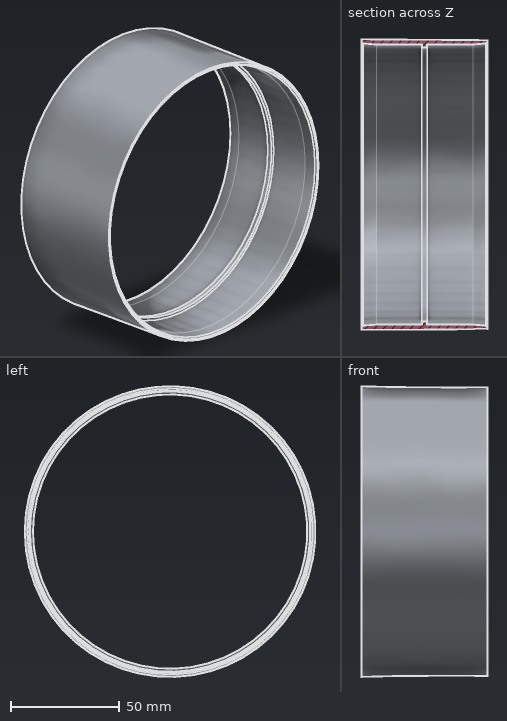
import cadquery as cq

length = 58.5
outer_radius_large = 67.33
outer_radius_small = 66.92
socket_radius = 64.8
lead_in_depth = 7.0
lead_in_radius = 65.3
chamfer_size = 0.8
stop_radius = 63.4
stop_width = 2.5

mouth_radius = lead_in_radius + chamfer_size
stop_start = (length - stop_width) / 2
stop_end = stop_start + stop_width


def wall_section():
    """Section of the wall above the axis, with points as (X, radius)."""
    return (
        cq.Workplane("XY")
        .moveTo(0, outer_radius_large)
        .lineTo(length, outer_radius_small)
        .lineTo(length, mouth_radius)
        .lineTo(length - chamfer_size, lead_in_radius)
        .lineTo(length - lead_in_depth, socket_radius)
        .lineTo(stop_end, socket_radius)
        .lineTo(stop_end, stop_radius)
        .lineTo(stop_start, stop_radius)
        .lineTo(stop_start, socket_radius)
        .lineTo(lead_in_depth, socket_radius)
        .lineTo(chamfer_size, lead_in_radius)
        .lineTo(0, mouth_radius)
        .close()
    )


result = wall_section().revolve(360, (0, 0, 0), (1, 0, 0))